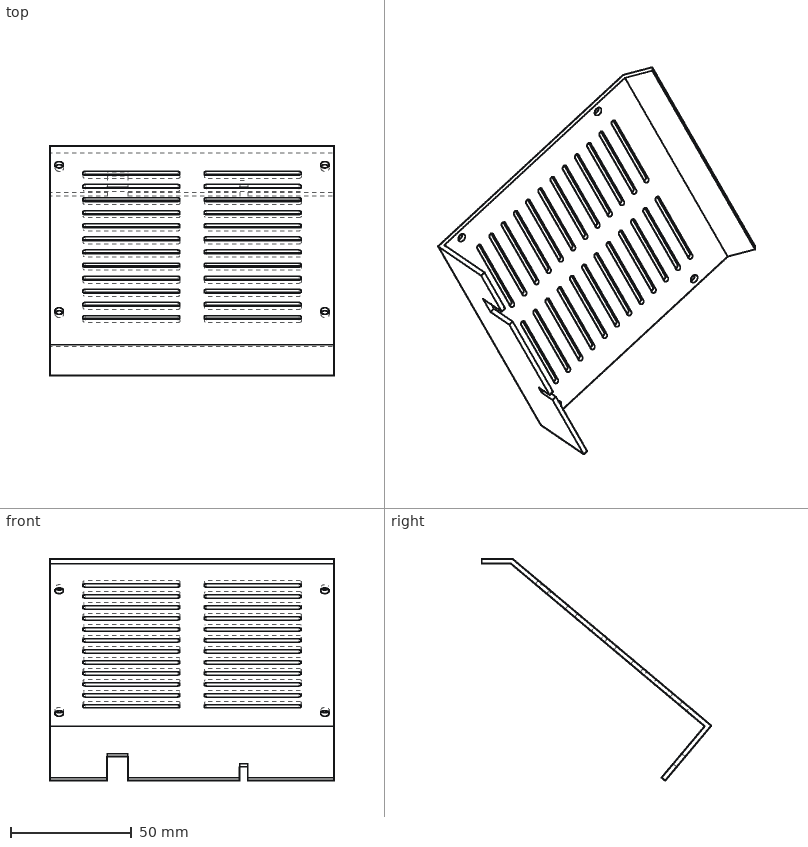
import cadquery as cq
import math

width = 117.6
thickness = 2.0
slope_angle = 40.0
top_flange_length = 12.85
panel_length = 107.4
lower_flange_length = 29.76

slot_rows = 12
slot_pitch = 7.08
slot_length = 40.2
slot_width = 2.0
slot_column_offset = 25.1

hole_diameter = 3.5
hole_spacing_x = 110.0
lower_hole_distance = 10.2
hole_spacing_along_panel = 79.0

notches = [(-30.8, 8.6, 13.0), (21.35, 3.3, 7.5)]

cut_reach = 2 * thickness


def make_folded_sheet():
    angle = math.radians(slope_angle)
    miter_shift = thickness * math.tan(angle / 2)
    inner_flange_length = top_flange_length - miter_shift
    flange_y = -math.cos(angle)
    flange_z = -math.sin(angle)
    outer_bend_y = -panel_length
    inner_bend_y = outer_bend_y + miter_shift
    outline = [
        (0, 0),
        (0, -lower_flange_length),
        (-thickness, -lower_flange_length),
        (-thickness, -thickness),
        (inner_bend_y, -thickness),
        (
            inner_bend_y + inner_flange_length * flange_y,
            -thickness + inner_flange_length * flange_z,
        ),
        (outer_bend_y + top_flange_length * flange_y, top_flange_length * flange_z),
        (outer_bend_y, 0),
    ]
    return cq.Workplane("YZ").polyline(outline).close().extrude(width / 2, both=True)


def make_slots():
    centre_y = -panel_length / 2
    first_y = centre_y - (slot_rows - 1) * slot_pitch / 2
    centres = [
        (side * slot_column_offset, first_y + row * slot_pitch)
        for side in (-1, 1)
        for row in range(slot_rows)
    ]
    return (
        cq.Workplane("XY")
        .pushPoints(centres)
        .slot2D(slot_length, slot_width)
        .extrude(cut_reach, both=True)
    )


def make_holes():
    centres = [
        (side * hole_spacing_x / 2, -lower_hole_distance - step * hole_spacing_along_panel)
        for side in (-1, 1)
        for step in (0, 1)
    ]
    return (
        cq.Workplane("XY")
        .pushPoints(centres)
        .circle(hole_diameter / 2)
        .extrude(cut_reach, both=True)
    )


def make_notch(centre_x, notch_width, depth):
    return (
        cq.Workplane("XY")
        .box(notch_width, 2 * cut_reach, 2 * depth)
        .translate((centre_x, 0, -lower_flange_length))
    )


part = make_folded_sheet().cut(make_slots()).cut(make_holes())
for notch in notches:
    part = part.cut(make_notch(*notch))

result = part.rotate((0, 0, 0), (1, 0, 0), -slope_angle)